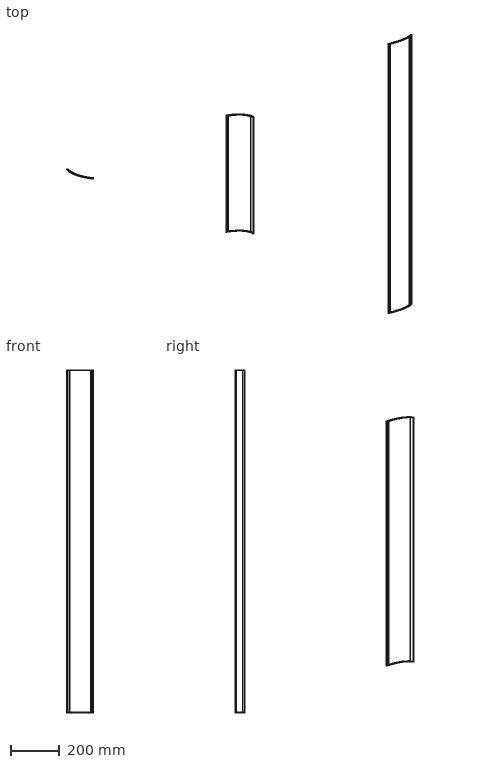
import cadquery as cq
import math

width = 106.6
depth = 39.47
height = 1398.0

wall = 3.0
thin_wall = 2.0
lip_length = 13.0
groove_width = 6.0
groove_margin = 2.5

left_slope = math.radians(65.0)
right_slope = math.radians(6.0)
left_pull = 7.0
right_pull = 77.0
offset_steps = 8


def make_outer_curve():
    """Bezier curve from the left edge to the right edge of the outer face."""
    left_y = depth - thin_wall * math.cos(left_slope)
    right_x = width - wall * math.sin(right_slope)
    return cq.Edge.makeBezier(
        [
            cq.Vector(0, left_y),
            cq.Vector(
                left_pull * math.cos(left_slope),
                left_y - left_pull * math.sin(left_slope),
            ),
            cq.Vector(
                right_x - right_pull * math.cos(right_slope),
                right_pull * math.sin(right_slope),
            ),
            cq.Vector(right_x, 0),
        ]
    )


outer_curve = make_outer_curve()
curve_length = outer_curve.Length()


def inside_point(distance, inset):
    """Point at a distance along the outer curve, set in square to it by a thickness."""
    fraction = distance / curve_length
    position = outer_curve.positionAt(fraction)
    tangent = outer_curve.tangentAt(fraction)
    return position + cq.Vector(-tangent.y, tangent.x) * inset


def inside_curve(start, end, inset):
    """Curve parallel to the outer curve between two distances along it."""
    step = (end - start) / offset_steps
    return cq.Edge.makeSpline(
        [inside_point(start + i * step, inset) for i in range(offset_steps + 1)]
    )


def make_section():
    """Closed outline of the panel: the outer curve and the stepped inner face."""
    groove_end = curve_length - groove_margin
    groove_start = groove_end - groove_width
    inner_stretches = [
        (0.0, lip_length, thin_wall),
        (lip_length, groove_start, wall),
        (groove_start, groove_end, thin_wall),
        (groove_end, curve_length, wall),
    ]
    edges = [outer_curve]
    corner = outer_curve.startPoint()
    for start, end, inset in inner_stretches:
        stretch = inside_curve(start, end, inset)
        edges.append(cq.Edge.makeLine(corner, stretch.startPoint()))
        edges.append(stretch)
        corner = stretch.endPoint()
    edges.append(cq.Edge.makeLine(corner, outer_curve.endPoint()))
    return cq.Wire.assembleEdges(edges)


panel = cq.Solid.extrudeLinear(make_section(), [], cq.Vector(0, 0, height))
result = cq.Workplane(panel)